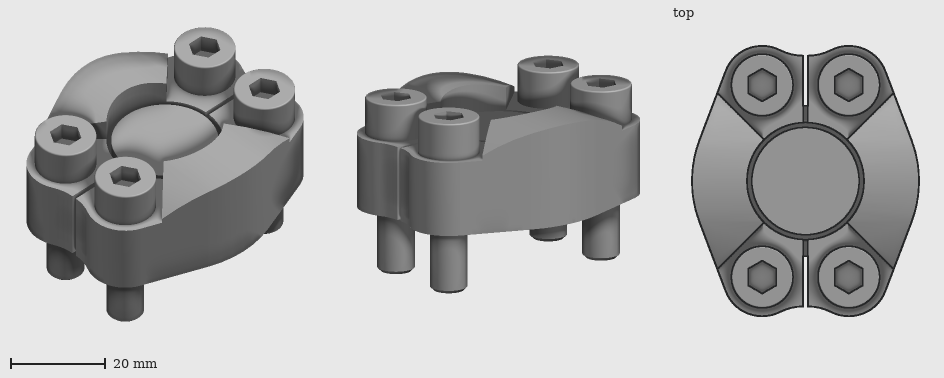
import cadquery as cq
import math

clamp_height = 16.0
saddle_height = 22.0
saddle_radius = 37.6

clamp_length = 57.0
clamp_width = 47.9
bolt_x = 9.1
bolt_y = 20.25
side_radius = 24.3
waist_radius = 10.7
split_gap = 1.0
bore_diameter = 24.7

flange_diameter = 31.75
flange_protrusion = 2.0
flange_shoulder = 1.5
hub_top = 4.75
hub_fillet = 0.5
neck_diameter = 22.6

shank_diameter = 8.0
bolt_tip_z = -14.0
tip_chamfer = 0.75
head_diameter = 13.0
head_height = 8.0
head_fillet = 0.35
hex_across_flats = 6.0
hex_depth = 4.0

ear_radius = clamp_length / 2 - bolt_y


def clamp_outline():
    """Closed plan outline: two side arcs, four ears and two waists, joined tangentially."""
    side_x = clamp_width / 2 - side_radius
    center_distance = math.hypot(bolt_x - side_x, bolt_y)
    center_angle = math.atan2(bolt_y, bolt_x - side_x)
    flank_angle = center_angle - math.acos((side_radius - ear_radius) / center_distance)
    flank_side = (side_x + side_radius * math.cos(flank_angle), side_radius * math.sin(flank_angle))
    flank_ear = (
        bolt_x + ear_radius * math.cos(flank_angle),
        bolt_y + ear_radius * math.sin(flank_angle),
    )

    waist_x = split_gap / 2
    blend_sin = (bolt_x - waist_x) / (ear_radius + waist_radius)
    blend_cos = math.sqrt(1 - blend_sin**2)
    blend = (bolt_x - ear_radius * blend_sin, bolt_y + ear_radius * blend_cos)
    waist_center_y = bolt_y + (ear_radius + waist_radius) * blend_cos
    waist_end = (waist_x, waist_center_y - waist_radius)
    half_blend = math.asin(blend_sin) / 2
    waist_mid = (
        waist_x + waist_radius * math.sin(half_blend),
        waist_center_y - waist_radius * math.cos(half_blend),
    )
    ear_top = (bolt_x, clamp_length / 2)

    def flip(point, x_sign, y_sign):
        return (x_sign * point[0], y_sign * point[1])

    outline = cq.Workplane("XY").moveTo(*flip(flank_side, 1, -1))
    for sign in (1, -1):
        outline = (
            outline.threePointArc((sign * clamp_width / 2, 0), flip(flank_side, sign, sign))
            .lineTo(*flip(flank_ear, sign, sign))
            .threePointArc(flip(ear_top, sign, sign), flip(blend, sign, sign))
            .threePointArc(flip(waist_mid, sign, sign), flip(waist_end, sign, sign))
            .lineTo(*flip(waist_end, -sign, sign))
            .threePointArc(flip(waist_mid, -sign, sign), flip(blend, -sign, sign))
            .threePointArc(flip(ear_top, -sign, sign), flip(flank_ear, -sign, sign))
            .lineTo(*flip(flank_side, -sign, sign))
        )
    return outline.close()


def saddles():
    """Two wedges, each spanning 45 degrees either side of the X axis, under the arched top."""
    reach = clamp_width
    wedges = (
        cq.Workplane("XY")
        .polyline([(0, 0), (reach, reach), (reach, -reach)])
        .close()
        .polyline([(0, 0), (-reach, reach), (-reach, -reach)])
        .close()
        .extrude(saddle_height)
    )
    arch = (
        cq.Workplane("YZ")
        .center(0, saddle_height - saddle_radius)
        .circle(saddle_radius)
        .extrude(reach, both=True)
    )
    return wedges.intersect(arch)


def clamp():
    """Both clamp halves, parted by the split and bored for the flange neck."""
    body = clamp_outline().extrude(saddle_height)
    seats = cq.Workplane("XY").rect(2 * clamp_width, 2 * clamp_length).extrude(clamp_height)
    body = body.intersect(seats.union(saddles()))
    split = cq.Workplane("XY").rect(split_gap, 2 * clamp_length).extrude(saddle_height)
    bore = cq.Workplane("XY").circle(bore_diameter / 2).extrude(saddle_height)
    return body.cut(split).cut(bore)


def flange():
    """Round head, filleted hub filling the bore, and a neck flush with the bolt seats."""
    hub_radius = bore_diameter / 2
    head_radius = flange_diameter / 2
    neck_radius = neck_diameter / 2
    return (
        cq.Workplane("XZ")
        .moveTo(0, -flange_protrusion)
        .lineTo(head_radius, -flange_protrusion)
        .lineTo(head_radius, flange_shoulder)
        .lineTo(hub_radius + hub_fillet, flange_shoulder)
        .radiusArc((hub_radius, flange_shoulder + hub_fillet), hub_fillet)
        .lineTo(hub_radius, hub_top)
        .lineTo(neck_radius, hub_top)
        .lineTo(neck_radius, clamp_height)
        .lineTo(0, clamp_height)
        .close()
        .revolve(360, (0, 0, 0), (0, 1, 0))
    )


def bolt():
    """Socket head bolt on the Z axis with its head on the clamp seat."""
    shank = (
        cq.Workplane("XY", origin=(0, 0, bolt_tip_z))
        .circle(shank_diameter / 2)
        .extrude(clamp_height - bolt_tip_z)
        .faces("<Z")
        .chamfer(tip_chamfer)
    )
    head = (
        cq.Workplane("XY", origin=(0, 0, clamp_height))
        .circle(head_diameter / 2)
        .extrude(head_height)
        .faces(">Z")
        .fillet(head_fillet)
    )
    hex_turn = 30
    hex_across_corners = hex_across_flats / math.cos(math.radians(hex_turn))
    socket = (
        cq.Workplane("XY", origin=(0, 0, clamp_height + head_height))
        .polygon(6, hex_across_corners)
        .extrude(-hex_depth)
        .rotate((0, 0, 0), (0, 0, 1), hex_turn)
    )
    return shank.union(head).cut(socket)


result = clamp().union(flange())
for x in (-bolt_x, bolt_x):
    for y in (-bolt_y, bolt_y):
        result = result.union(bolt().translate((x, y, 0)))